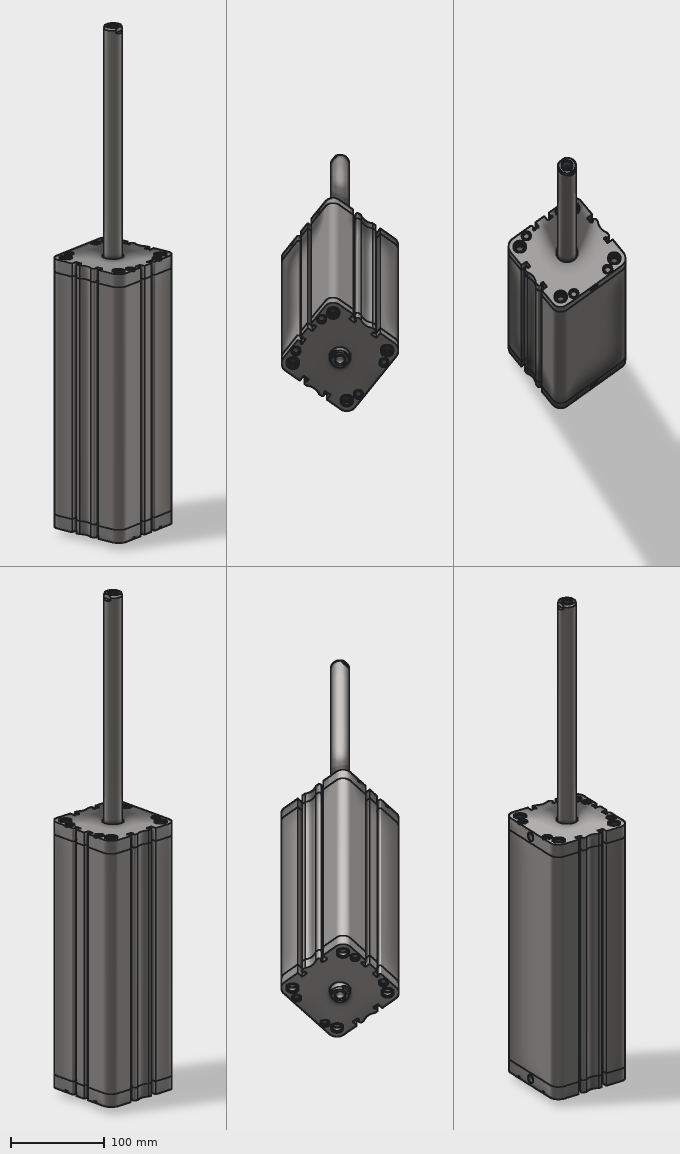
import cadquery as cq
import math


rod_length = 572.0
body_width = 95.5
body_bottom = 9.0
body_length = 303.0
cap_height = 15.0

half_width = body_width / 2
barrel_bottom = body_bottom + cap_height
barrel_length = body_length - 2 * cap_height
body_middle = body_bottom + body_length / 2

corner_radius = 11.0
slot_mouth_width = 5.0
slot_undercut = 2.0
slot_lip = 4.0
slot_rounding = 2.0
side_slot_place = 15.5
side_slot_depth = 7.0
back_slot_place = 8.5
back_slot_depth = 6.5
groove_width = 15.5
groove_depth = 2.5

rod_hole_diameter = 23.0
mount_place = 36.0
mount_diameter = 8.5
mount_thread_diameter = 10.5
mount_thread_depth = 7.0
mount_counterbore_diameter = 14.0
mount_counterbore_depth = 2.0
mount_depth = 11.5
screw_place_x = 42.0
screw_place_y = 23.0
screw_diameter = 10.5
screw_depth = 2.0
socket_diameter = 7.0
socket_depth = 3.5
port_drop = 7.5
port_diameter = 8.5
port_depth = 10.0
port_counterbore_diameter = 10.0
port_counterbore_depth = 0.5

rod_diameter = 20.0
rod_chamfer_length = 3.0
rod_chamfer_depth = 1.0
flat_width = 16.5
flat_length = 5.0
thread_diameter = 10.0
thread_sink_diameter = 12.5
thread_depth = 23.0
drill_tip_angle = 118.0


def turned(shape, angle):
    """The shape turned about the Z axis."""
    return shape.rotate((0, 0, 0), (0, 0, 1), angle)


def slot(length, place, depth, undercut_side):
    """Slot open to +Y with its mouth at X = place, undercut behind a rounded lip on one side."""
    straight_wall = place - undercut_side * slot_mouth_width / 2
    lip_wall = place + undercut_side * slot_mouth_width / 2
    undercut_wall = lip_wall + undercut_side * slot_undercut
    rounding_end = lip_wall + undercut_side * slot_rounding
    floor = half_width - depth
    return (
        cq.Workplane("XY")
        .moveTo(straight_wall, half_width)
        .lineTo(straight_wall, floor)
        .lineTo(undercut_wall, floor)
        .lineTo(undercut_wall, half_width - slot_lip)
        .lineTo(lip_wall, half_width - slot_lip)
        .lineTo(lip_wall, half_width - slot_rounding)
        .radiusArc((rounding_end, half_width), undercut_side * slot_rounding)
        .close()
        .extrude(length)
    )


def groove(length):
    """Shallow round groove along the middle of the +Y face."""
    return (
        cq.Workplane("XY")
        .moveTo(-groove_width / 2, half_width)
        .threePointArc((0, half_width - groove_depth), (groove_width / 2, half_width))
        .close()
        .extrude(length)
    )


def profile(length):
    """Square bar from Z = 0 with rounded corners, slots on three faces and grooves on two."""
    bar = cq.Workplane("XY").rect(body_width, body_width).extrude(length).edges("|Z").fillet(corner_radius)
    for face_angle in (0, 180):
        bar = bar.cut(turned(groove(length), face_angle))
        for side in (-1, 1):
            side_slot = slot(length, side * side_slot_place, side_slot_depth, -side)
            bar = bar.cut(turned(side_slot, face_angle))
    for side in (-1, 1):
        back_slot = slot(length, side * back_slot_place, back_slot_depth, side)
        bar = bar.cut(turned(back_slot, -90))
    return bar


def hole_pattern(place_x, place_y, diameter, depth):
    """Four round cutters going down from the outer cap face, at (+-place_x, +-place_y)."""
    return (
        cq.Workplane("XY", origin=(0, 0, cap_height))
        .rect(2 * place_x, 2 * place_y, forConstruction=True)
        .vertices()
        .circle(diameter / 2)
        .extrude(-depth)
    )


def port_bore(diameter, depth):
    """Round cutter going into the cap from the -X face."""
    return (
        cq.Workplane("YZ", origin=(-half_width, 0, cap_height - port_drop))
        .circle(diameter / 2)
        .extrude(depth)
    )


def end_cap():
    """Cap with its inner face at Z = 0 and its outer face on top."""
    cap = profile(cap_height)
    cap = cap.cut(cq.Workplane("XY").circle(rod_hole_diameter / 2).extrude(cap_height))

    cap = cap.cut(hole_pattern(mount_place, mount_place, mount_diameter, mount_depth))
    cap = cap.cut(hole_pattern(mount_place, mount_place, mount_thread_diameter, mount_thread_depth))
    cap = cap.cut(hole_pattern(mount_place, mount_place, mount_counterbore_diameter, mount_counterbore_depth))

    cap = cap.cut(hole_pattern(screw_place_x, screw_place_y, screw_diameter, screw_depth))
    cap = cap.cut(hole_pattern(screw_place_x, screw_place_y, socket_diameter, socket_depth))

    cap = cap.cut(port_bore(port_diameter, port_depth))
    return cap.cut(port_bore(port_counterbore_diameter, port_counterbore_depth))


def rod_end_thread():
    """Countersunk blind hole with a drill tip, going down from the upper rod end."""
    radius = thread_diameter / 2
    sink_radius = thread_sink_diameter / 2
    sink_depth = sink_radius - radius
    tip_length = radius / math.tan(math.radians(drill_tip_angle / 2))
    return (
        cq.Workplane("XZ")
        .moveTo(0, rod_length)
        .lineTo(sink_radius, rod_length)
        .lineTo(radius, rod_length - sink_depth)
        .lineTo(radius, rod_length - thread_depth)
        .lineTo(0, rod_length - thread_depth - tip_length)
        .close()
        .revolve(360, (0, 0, 0), (0, 1, 0))
    )


def wrench_flat():
    """Cutter for the +X wrench flat at the upper rod end, with a 45 degree run-out."""
    flat = flat_width / 2
    surface = rod_diameter / 2
    flat_end = rod_length - flat_length
    return (
        cq.Workplane("XZ")
        .moveTo(flat, rod_length)
        .lineTo(flat, flat_end)
        .lineTo(surface, flat_end - (surface - flat))
        .lineTo(surface, rod_length)
        .close()
        .extrude(rod_diameter / 2, both=True)
    )


def piston_rod():
    """Rod with chamfered ends, each with two wrench flats and a threaded hole."""
    rod = cq.Workplane("XY").circle(rod_diameter / 2).extrude(rod_length)
    rod = rod.faces("<Z or >Z").chamfer(rod_chamfer_length, rod_chamfer_depth)
    for cutter in (rod_end_thread(), wrench_flat(), turned(wrench_flat(), 180)):
        rod = rod.cut(cutter).cut(cutter.mirror("XY", (0, 0, rod_length / 2)))
    return rod


def slotted_barrel():
    """Barrel between the caps, bored to fit the rod."""
    bore = cq.Workplane("XY").circle(rod_diameter / 2).extrude(barrel_length)
    return profile(barrel_length).cut(bore).translate((0, 0, barrel_bottom))


barrel = slotted_barrel()
rod = piston_rod()

caps = []
for facing_down in (False, True):
    cap = end_cap().translate((0, 0, barrel_bottom + barrel_length))
    if facing_down:
        cap = cap.mirror("XY", (0, 0, body_middle))
    caps.append(cap.val())

result = cq.Compound.makeCompound([barrel.val(), rod.val(), *caps])